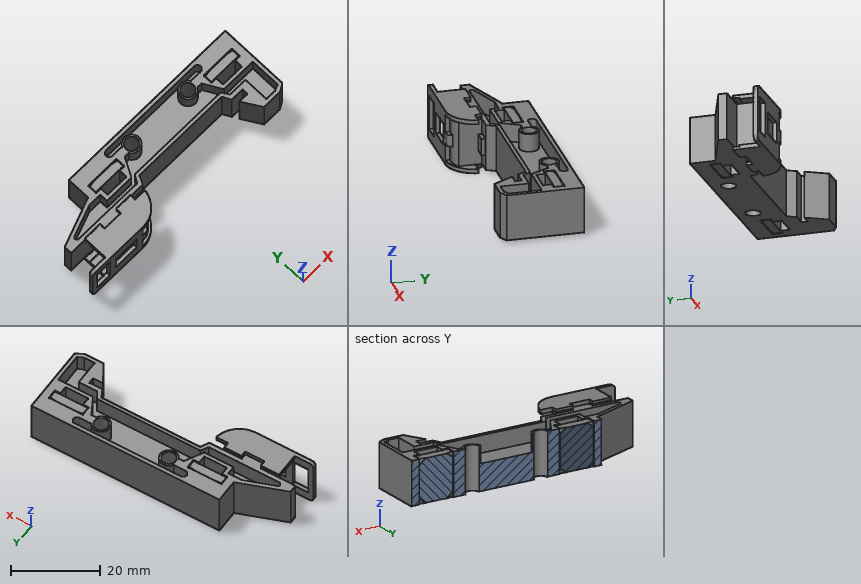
import cadquery as cq
import math


total_depth = 13.0
flange_thickness = 1.0
housing_bottom = flange_thickness
housing_top = total_depth - flange_thickness
housing_depth = housing_top - housing_bottom
middle_z = total_depth / 2
seat_y = 7.4
rail_thickness = 1.5
grip_y = seat_y - rail_thickness

housing_right = 62.75
housing_back = 20.0
block_left = 12.75
block_middle = (block_left + housing_right) / 2
arm_left = 0.6
arm_tip_y = 9.45
arm_root_y = 14.0
web_y = 9.5
web_half = 13.15
web_foot_half = 14.25
hook_slot_end = 55.4
hook_tip_x = 52.85
hook_nose_y = 1.0
hook_nose_left = 55.75
hook_nose_right = 60.85
hook_corner_y = 2.1

pocket_depth = 4.25
wall = 1.0
web_wall = 0.9
seat_wall = 1.15
pocket_inner_y = web_y + web_wall
pocket_seat_y = seat_y + seat_wall
arm_pocket_left = 3.65
arm_pocket_tip_y = 9.55
arm_pocket_top_y = 12.5
arm_pocket_bend_x = 11.6
arm_pocket_right = 15.15
arm_pocket_fillet = 0.5
pocket_web_half = 13.75
slope_foot_half = 14.8
slope_top_half = 12.3
slope_top_y = 14.95
hook_pocket_left = 57.5
hook_pocket_right = housing_right - wall
hook_pocket_front = hook_nose_y + wall
hook_pocket_chamfer_x = 60.3
hook_pocket_chamfer_y = 2.65
groove_length = 30.1
groove_back = housing_back - wall
groove_width = 1.9

boss_diameter = 4.5
boss_hole_diameter = 3.5
boss_y = 16.0
boss_half_spacing = 9.0
boss_xs = (block_middle - boss_half_spacing, block_middle + boss_half_spacing)
lug_left = 9.85
lug_right = 14.95
stop_left = 20.3
stop_right = 23.1
stop_height = 0.95
stop_depth = 4.0

nut_half_spacing = 18.45
nut_centres = (block_middle - nut_half_spacing, block_middle + nut_half_spacing)
nut_slot_width = 9.0
nut_slot_front = 13.45
nut_slot_back = 15.95
nut_window_width = 6.0
nut_window_front = 11.35
nut_clearance = 0.1
nut_width = nut_slot_width - 2 * nut_clearance
nut_thickness = 2.2
nut_front = nut_slot_back - nut_clearance - nut_thickness
nut_length = housing_depth - 2 * nut_clearance
nut_chamfer_radius = 6.0
nut_chamfer_angle = 15.0

plate_thickness = 1.0
plate_right = 15.9
plate_corner_radius = 1.0
flange_left = 4.95
flange_right = 22.65
flange_upper_right = 19.55
flange_lip_thickness = 0.65
core_left = 7.9
core_right = 19.9
core_left_arc_x = 11.0
core_left_arc_y = 2.45
core_right_arc_x = 16.85
core_right_arc_y = 2.1
tongue_radius = 1.2
tongue_depth = 2.8
grip_window = (1.35, 5.5, 8.1)
latch_window = (7.4, 14.05, 5.0)


def box(x0, x1, y0, y1, z0, z1):
    return cq.Workplane("XY").box(x1 - x0, y1 - y0, z1 - z0, centered=False).translate((x0, y0, z0))


def centred_box(x0, x1, y0, y1, depth):
    return box(x0, x1, y0, y1, middle_z - depth / 2, middle_z + depth / 2)


def prism(points, z0, z1):
    return cq.Workplane("XY").workplane(offset=z0).polyline(points).close().extrude(z1 - z0)


def pin(x, y, diameter, z0, z1):
    return cq.Workplane("XY").workplane(offset=z0).center(x, y).circle(diameter / 2).extrude(z1 - z0)


def housing_block():
    outline = [
        (arm_left, seat_y),
        (block_middle - web_foot_half, seat_y),
        (block_middle - web_half, web_y),
        (block_middle + web_half, web_y),
        (block_middle + web_foot_half, seat_y),
        (hook_slot_end, seat_y),
        (hook_slot_end, grip_y),
        (hook_tip_x, grip_y),
        (hook_nose_left, hook_nose_y),
        (hook_nose_right, hook_nose_y),
        (housing_right, hook_corner_y),
        (housing_right, housing_back),
        (block_left, housing_back),
        (block_left, arm_root_y),
        (arm_left, arm_tip_y),
    ]
    return prism(outline, housing_bottom, housing_top)


def housing_pocket():
    floor = housing_top - pocket_depth
    outline = [
        (arm_pocket_left, pocket_seat_y),
        (block_middle - slope_foot_half, pocket_seat_y),
        (block_middle - pocket_web_half, pocket_inner_y),
        (block_middle + pocket_web_half, pocket_inner_y),
        (block_middle + slope_foot_half, pocket_seat_y),
        (hook_pocket_left, pocket_seat_y),
        (hook_pocket_left, hook_pocket_front),
        (hook_pocket_chamfer_x, hook_pocket_front),
        (hook_pocket_right, hook_pocket_chamfer_y),
        (hook_pocket_right, pocket_inner_y),
        (block_middle + slope_foot_half, pocket_inner_y),
        (block_middle + slope_top_half, slope_top_y),
        (block_middle - slope_top_half, slope_top_y),
        (block_middle - slope_foot_half, pocket_inner_y),
        (arm_pocket_right, pocket_inner_y),
        (arm_pocket_right, arm_pocket_top_y),
        (arm_pocket_bend_x, arm_pocket_top_y),
        (arm_pocket_left, arm_pocket_tip_y),
    ]
    lower = prism(outline, floor, housing_top).edges("|Z and <X").fillet(arm_pocket_fillet)
    groove = (
        cq.Workplane("XY")
        .workplane(offset=floor)
        .center(block_middle, groove_back - groove_width / 2)
        .slot2D(groove_length, groove_width)
        .extrude(pocket_depth)
    )
    middle = box(boss_xs[0], boss_xs[1], pocket_inner_y, groove_back, floor, housing_top)
    pocket = lower.union(groove).union(middle)
    for x in boss_xs:
        pocket = pocket.cut(pin(x, boss_y, boss_diameter, floor, housing_top))
    return pocket


def nut_slot(centre_x):
    half_slot = nut_slot_width / 2
    half_window = nut_window_width / 2
    slot = box(centre_x - half_slot, centre_x + half_slot,
               nut_slot_front, nut_slot_back, housing_bottom, housing_top)
    window = box(centre_x - half_window, centre_x + half_window,
                 nut_window_front, nut_slot_back, housing_bottom, housing_top)
    return slot.union(window)


def housing_lug():
    return box(lug_left, lug_right, grip_y, seat_y, housing_bottom, housing_top)


def make_housing():
    body = housing_block().cut(housing_pocket())
    for x in boss_xs:
        body = body.cut(pin(x, boss_y, boss_hole_diameter, housing_bottom, housing_top))
    for x in nut_centres:
        body = body.cut(nut_slot(x))
    stop = centred_box(stop_left, stop_right, seat_y - stop_height, seat_y, stop_depth)
    return body.union(housing_lug()).union(stop)


def make_nut(centre_x):
    half = nut_width / 2
    nut_back = nut_front + nut_thickness
    plate = centred_box(centre_x - half, centre_x + half, nut_front, nut_back, nut_length)
    cone_base_radius = nut_chamfer_radius + nut_thickness / math.tan(math.radians(nut_chamfer_angle))
    cone = (
        cq.Workplane("XY")
        .polyline([(0, 0), (cone_base_radius, 0), (nut_chamfer_radius, nut_thickness), (0, nut_thickness)])
        .close()
        .revolve(360, (0, 0, 0), (0, 1, 0))
        .translate((centre_x, nut_front, middle_z))
    )
    return plate.intersect(cone)


def release_plate():
    plate = centred_box(0, plate_right, 0, plate_thickness, total_depth)
    plate = plate.edges("|Y and <X").fillet(plate_corner_radius)
    for left, right, depth in (grip_window, latch_window):
        plate = plate.cut(centred_box(left, right, 0, plate_thickness, depth))
    return plate


def tangent_arc_middle(start, end):
    """Middle point of the arc from start to end that leaves start along X."""
    run = end[0] - start[0]
    rise = end[1] - start[1]
    radius = (run**2 + rise**2) / (2 * rise)
    half_angle = math.atan2(rise, abs(run))
    side = math.copysign(1, run)
    return (
        start[0] + side * radius * math.sin(half_angle),
        start[1] + radius * (1 - math.cos(half_angle)),
    )


def side_flange(bottom):
    """Full flange up to the grip face, with the rounded end beyond the plate."""
    arc_start = (plate_right, 0)
    arc_end = (flange_right, grip_y)
    return (
        cq.Workplane("XY")
        .workplane(offset=bottom)
        .moveTo(flange_left, 0)
        .lineTo(*arc_start)
        .threePointArc(tangent_arc_middle(arc_start, arc_end), arc_end)
        .lineTo(flange_left, grip_y)
        .close()
        .extrude(flange_thickness)
    )


def flange_lip(bottom):
    """Thin strip between the grip face and the seat, open around the housing lug."""
    top = bottom + flange_lip_thickness
    lip = box(flange_left, flange_upper_right, grip_y, seat_y, bottom, top)
    return lip.cut(box(lug_left, lug_right, grip_y, seat_y, bottom, top))


def foot_core():
    """Solid middle between the flanges, rounded towards the plate at both ends."""
    left_start = (core_left_arc_x, plate_thickness)
    left_end = (core_left, core_left_arc_y)
    right_start = (core_right_arc_x, plate_thickness)
    right_end = (core_right, core_right_arc_y)
    return (
        cq.Workplane("XY")
        .workplane(offset=housing_bottom)
        .moveTo(*left_start)
        .lineTo(*right_start)
        .threePointArc(tangent_arc_middle(right_start, right_end), right_end)
        .lineTo(core_right, seat_y)
        .lineTo(core_left, seat_y)
        .lineTo(*left_end)
        .threePointArc(tangent_arc_middle(left_start, left_end), left_start)
        .close()
        .extrude(housing_depth)
    )


def foot_tongue():
    """Continues the plate at mid-depth and rounds off into the right end of the core."""
    z0 = middle_z - tongue_depth / 2
    z1 = middle_z + tongue_depth / 2
    flat = box(plate_right, core_right_arc_x, 0, plate_thickness, z0, z1)
    return flat.union(pin(core_right_arc_x, tongue_radius, 2 * tongue_radius, z0, z1))


def make_foot():
    body = foot_core().union(release_plate()).union(foot_tongue())
    body = body.union(side_flange(0)).union(side_flange(housing_top))
    body = body.union(flange_lip(0)).union(flange_lip(total_depth - flange_lip_thickness))
    return body.cut(housing_lug())


housing = make_housing()
foot = make_foot()
nuts = [make_nut(x) for x in nut_centres]
result = cq.Compound.makeCompound([housing.val(), foot.val(), *[nut.val() for nut in nuts]])